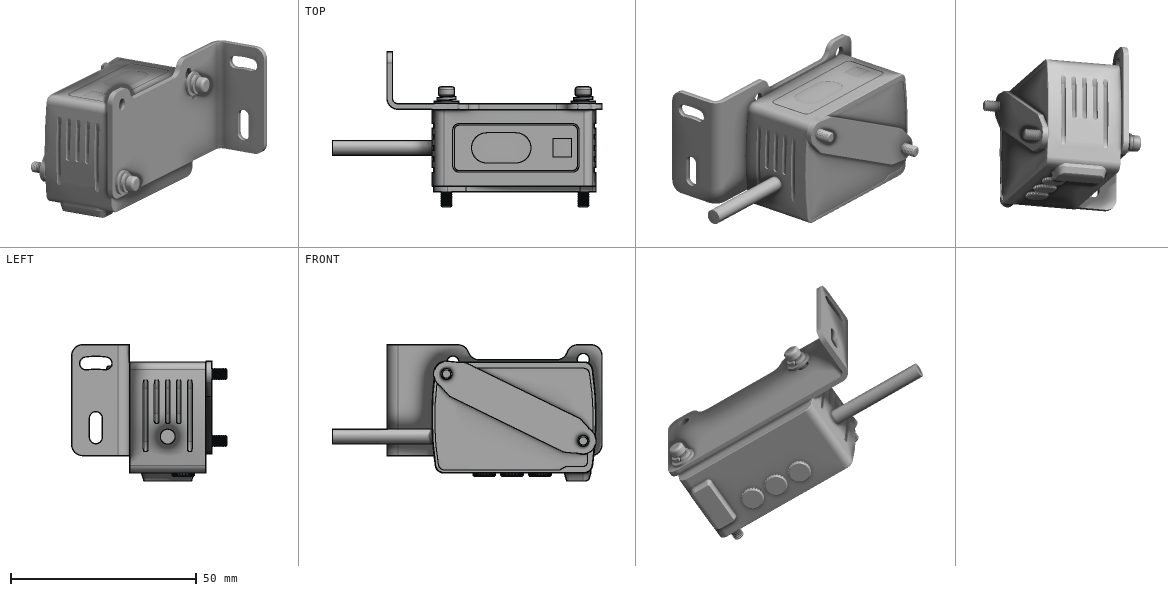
import cadquery as cq
import math


HOUSING_LENGTH = 44.3
HOUSING_DEPTH = 20.75
HOUSING_HEIGHT = 30.0
END_BULGE = 1.25
CORNER_RADIUS = 2.3
EDGE_CHAMFER = 0.15
MID_Y = -HOUSING_DEPTH / 2
MID_Z = HOUSING_HEIGHT / 2
CUT_MARGIN = 0.7

PANEL_DEPTH = 0.2
PANEL_END_INSET = 0.8
PANEL_TOP_INSET = 1.7
PANEL_BOTTOM_INSET = 0.8
PANEL_CORNER_RADIUS = 1.75
SCREW_LAND_RADIUS = 3.65
CORNER_STEP_X = 12.3
CORNER_STEP_RUN = 1.7
CORNER_STEP_RISE = 0.95
CORNER_STEP_RADIUS = 1.3
CORNER_STEP_RIGHT = 19.9

FRAME_X = 0.5
FRAME_LENGTH = 34.1
FRAME_WIDTH = 13.1
FRAME_RADIUS = 1.75
FRAME_GROOVE = 0.45
FRAME_DEPTH = 0.2
WINDOW_DEPTH = 0.1
BUTTON_X = -3.4
BUTTON_LENGTH = 16.0
BUTTON_WIDTH = 8.15
LAMP_X = 13.0
LAMP_SIDE = 5.0

GROOVE_PITCH = 3.0
GROOVE_WIDTH = 1.3
GROOVE_TOP = 25.55
LONG_GROOVE_BOTTOM = 5.75
SHORT_GROOVE_BOTTOM = 13.3
GROOVE_DEPTH = 0.95
GROOVE_RUN_OUT = 2.7
GROOVE_FLOOR_RADIUS = 0.3

ADJUSTER_X = -0.5
ADJUSTER_PITCH = 7.5
ADJUSTER_Y = -14.55
ADJUSTER_DIAMETER = 6.2
ADJUSTER_HEIGHT = 0.9
ADJUSTER_CHAMFER = 0.4
ADJUSTER_NOTCHES = 24
NOTCH_DIAMETER = 0.4
LENS_X = 17.2
LENS_LENGTH = 7.2
LENS_WIDTH = 14.2
LENS_DROP = 2.2
LENS_ROOT = 1.45
LENS_TAPER = 17.0
LENS_RADIUS = 1.0
LENS_NOSE_RADIUS = 1.75
LENS_NOSE_CORNER = 2.2

SHEET = 1.5
BRACKET_RIGHT = 23.8
BRACKET_LEFT = -34.3
BRACKET_TOP = 34.65
BRACKET_BOTTOM = 4.65
FLANGE_REACH = 15.6
BRACKET_RADIUS = 3.05
DIP_LEFT = -15.15
DIP_RIGHT = 17.25
DIP_DEPTH = 4.1
FLANGE_HOLE_Y = 9.0
FLANGE_SLOT_Z = 12.2
FLANGE_SLOT_WIDTH = 3.4
FLANGE_SLOT_LENGTH = 8.6
FLANGE_ARC_RADIUS = 17.55
FLANGE_ARC_HALF_ANGLE = 8.6
SLOT_HALF_ANGLE = 5.1
SPARE_HOLE_Z = 30.65

UPPER_SCREW = (-18.2, 26.7)
LOWER_SCREW = (18.7, 8.65)
SCREWS = [UPPER_SCREW, LOWER_SCREW]
SCREW_DIAMETER = 3.0
SCREW_HOLE = 3.2
SCREW_TIP = -26.35
TIP_CHAMFER = 0.4
THREAD_PITCH = 0.5
THREAD_DEPTH = 0.3
HEAD_DIAMETER = 4.4
HEAD_HEIGHT = 2.5
HEAD_TOP_RADIUS = 0.7
HEAD_BOTTOM_RADIUS = 0.45
SPRING_DIAMETER = 5.25
SPRING_THICKNESS = 0.8
SPRING_PITCH = 0.6
SPRING_TURN = 0.97
SPRING_BITE = 0.15
WASHER_DIAMETER = 6.6
WASHER_THICKNESS = 0.7

PLATE_THICKNESS = 1.5
PLATE_END_RADIUS = 3.5
PLATE_HALF_WIDTH = 5.0
PLATE_HALF_LENGTH = 17.1

CABLE_DIAMETER = 4.0
CABLE_Z = 9.8
CABLE_INSERTION = 2.9

CABLE_END = BRACKET_RIGHT - 72.8
PLATE_FRONT = -HOUSING_DEPTH - PLATE_THICKNESS
WASHER_TOP = SHEET + WASHER_THICKNESS
HEAD_BASE = WASHER_TOP + SPRING_THICKNESS + SPRING_PITCH
SCREW_SPAN_X = LOWER_SCREW[0] - UPPER_SCREW[0]
SCREW_SPAN_Z = LOWER_SCREW[1] - UPPER_SCREW[1]
SCREW_SPAN = math.hypot(SCREW_SPAN_X, SCREW_SPAN_Z)
SCREW_LINE_ANGLE = math.degrees(math.atan2(SCREW_SPAN_Z, SCREW_SPAN_X))


def front_plane(y):
    """XZ sketch plane at the given Y; extrusions run toward -Y."""
    return cq.Workplane("XZ", origin=(0, y, 0))


def polar(center, radius, degrees):
    angle = math.radians(degrees)
    return (center[0] + radius * math.cos(angle), center[1] + radius * math.sin(angle))


def arc_slot(plane, center, radius, middle, half_angle, width):
    """Closed outline of a slot bent around a center, with round ends."""
    inner = radius - width / 2
    outer = radius + width / 2
    start = middle - half_angle
    end = middle + half_angle
    start_tip = math.degrees(width / 2 / radius)
    return (
        plane.moveTo(*polar(center, inner, start))
        .threePointArc(polar(center, inner, middle), polar(center, inner, end))
        .threePointArc(polar(center, radius, end + start_tip), polar(center, outer, end))
        .threePointArc(polar(center, outer, middle), polar(center, outer, start))
        .threePointArc(polar(center, radius, start - start_tip), polar(center, inner, start))
        .close()
    )



def bulged_block(plane, end_inset, bottom, top, radius, depth):
    """Block with bowed ends and rounded corners, extruded toward -Y."""
    middle = HOUSING_LENGTH / 2 - end_inset
    corner = middle - END_BULGE
    return (
        plane.moveTo(-corner, bottom)
        .lineTo(corner, bottom)
        .threePointArc((middle, MID_Z), (corner, top))
        .lineTo(-corner, top)
        .threePointArc((-middle, MID_Z), (-corner, bottom))
        .close()
        .extrude(depth)
        .edges("|Y")
        .fillet(radius)
    )


def front_panel():
    """Cutter for the shallow front panel, leaving lands around the screws."""
    face = front_plane(-HOUSING_DEPTH + PANEL_DEPTH)
    depth = PANEL_DEPTH + CUT_MARGIN
    panel_top = HOUSING_HEIGHT - PANEL_TOP_INSET
    panel = bulged_block(face, PANEL_END_INSET, PANEL_BOTTOM_INSET, panel_top, PANEL_CORNER_RADIUS, depth)
    lands = face.pushPoints(SCREWS).circle(SCREW_LAND_RADIUS).extrude(depth)

    ramp_top_x = CORNER_STEP_X + CORNER_STEP_RUN
    step_z = PANEL_BOTTOM_INSET + CORNER_STEP_RISE
    arc_center = (CORNER_STEP_RIGHT - CORNER_STEP_RADIUS, step_z + CORNER_STEP_RADIUS)
    corner_step = (
        face.moveTo(CORNER_STEP_X, PANEL_BOTTOM_INSET)
        .lineTo(ramp_top_x, step_z)
        .lineTo(arc_center[0], step_z)
        .threePointArc(polar(arc_center, CORNER_STEP_RADIUS, -45), (CORNER_STEP_RIGHT, arc_center[1]))
        .lineTo(CORNER_STEP_RIGHT, LOWER_SCREW[1])
        .lineTo(HOUSING_LENGTH / 2, LOWER_SCREW[1])
        .lineTo(HOUSING_LENGTH / 2, PANEL_BOTTOM_INSET)
        .close()
        .extrude(depth)
    )
    return panel.cut(lands).cut(corner_step)


def top_markings():
    """Cutters for the frame groove, the oval button and the square lamp."""
    top = cq.Workplane("XY", origin=(0, MID_Y, HOUSING_HEIGHT))
    frame = (
        top.center(FRAME_X, 0)
        .rect(FRAME_LENGTH, FRAME_WIDTH)
        .extrude(-FRAME_DEPTH)
        .edges("|Z")
        .fillet(FRAME_RADIUS)
    )
    island = (
        top.center(FRAME_X, 0)
        .rect(FRAME_LENGTH - 2 * FRAME_GROOVE, FRAME_WIDTH - 2 * FRAME_GROOVE)
        .extrude(-FRAME_DEPTH)
        .edges("|Z")
        .fillet(FRAME_RADIUS - FRAME_GROOVE)
    )
    button = top.center(BUTTON_X, 0).slot2D(BUTTON_LENGTH, BUTTON_WIDTH).extrude(-WINDOW_DEPTH)
    lamp = top.center(LAMP_X, 0).rect(LAMP_SIDE, LAMP_SIDE).extrude(-WINDOW_DEPTH)
    return [frame.cut(island), button, lamp]


def grip_groove(y, bottom):
    """Cutter for one upright groove in the left end, with a floor that runs out at both tips."""
    surface_x = -HOUSING_LENGTH / 2
    floor_x = surface_x + GROOVE_DEPTH
    slot = (
        cq.Workplane("YZ", origin=(surface_x, y, (GROOVE_TOP + bottom) / 2))
        .slot2D(GROOVE_TOP - bottom, GROOVE_WIDTH, 90)
        .extrude(GROOVE_DEPTH)
    )
    run_out = (
        front_plane(y + GROOVE_WIDTH / 2)
        .moveTo(surface_x, bottom)
        .lineTo(floor_x - GROOVE_DEPTH / 2, bottom)
        .lineTo(floor_x, bottom + GROOVE_RUN_OUT)
        .lineTo(floor_x, GROOVE_TOP - GROOVE_RUN_OUT)
        .lineTo(floor_x - GROOVE_DEPTH / 2, GROOVE_TOP)
        .lineTo(surface_x, GROOVE_TOP)
        .close()
        .extrude(GROOVE_WIDTH)
        .edges("(<Y or >Y) and (not <X) and (not |X)")
        .fillet(GROOVE_FLOOR_RADIUS)
    )
    return slot.intersect(run_out)


def adjuster(x):
    """Low knurled adjuster on the underside."""
    knob = (
        cq.Workplane("XY", origin=(x, ADJUSTER_Y, 0))
        .circle(ADJUSTER_DIAMETER / 2)
        .extrude(-ADJUSTER_HEIGHT)
        .faces("<Z")
        .chamfer(ADJUSTER_CHAMFER)
    )
    notches = (
        cq.Workplane("XY", origin=(x, ADJUSTER_Y, 0))
        .polarArray(ADJUSTER_DIAMETER / 2, 0, 360, ADJUSTER_NOTCHES)
        .circle(NOTCH_DIAMETER / 2)
        .extrude(-ADJUSTER_HEIGHT)
    )
    return knob.cut(notches)


def lens():
    """Tapered lens under the right end, rounded toward the nose."""
    outline = (
        cq.Sketch()
        .rect(LENS_LENGTH, LENS_WIDTH)
        .vertices("<X")
        .fillet(LENS_RADIUS)
        .reset()
        .vertices(">X")
        .fillet(LENS_NOSE_CORNER)
    )
    base = cq.Workplane("XY", origin=(LENS_X, MID_Y, 0)).placeSketch(outline)
    taper_part = base.extrude(-LENS_DROP, taper=LENS_TAPER)
    root = base.extrude(LENS_ROOT)
    envelope = (
        cq.Workplane("XY", origin=(LENS_X, MID_Y, LENS_ROOT))
        .rect(LENS_LENGTH, LENS_WIDTH)
        .extrude(-LENS_ROOT - LENS_DROP)
        .edges(">X and <Z")
        .fillet(LENS_NOSE_RADIUS)
    )
    return taper_part.union(root).intersect(envelope)


def make_housing():
    body = bulged_block(front_plane(0), 0, 0, HOUSING_HEIGHT, CORNER_RADIUS, HOUSING_DEPTH)
    body = body.faces("<Y or >Y").chamfer(EDGE_CHAMFER)
    body = body.cut(front_panel())
    for marking in top_markings():
        body = body.cut(marking)
    for index in range(-2, 3):
        bottom = LONG_GROOVE_BOTTOM if abs(index) == 2 else SHORT_GROOVE_BOTTOM
        groove = grip_groove(MID_Y + index * GROOVE_PITCH, bottom)
        body = body.cut(groove).cut(groove.mirror("YZ"))
    for index in range(-1, 2):
        body = body.union(adjuster(ADJUSTER_X + index * ADJUSTER_PITCH))
    body = body.union(lens())
    screw_holes = front_plane(0).pushPoints(SCREWS).circle(SCREW_HOLE / 2).extrude(HOUSING_DEPTH)
    return body.cut(screw_holes).cut(make_cable())



def make_cable():
    length = -HOUSING_LENGTH / 2 + CABLE_INSERTION - CABLE_END
    return cq.Workplane("YZ", origin=(CABLE_END, MID_Y, CABLE_Z)).circle(CABLE_DIAMETER / 2).extrude(length)



def bracket_sheet():
    """Bent L-shaped sheet before its outline is trimmed."""
    flange_inner = BRACKET_LEFT + SHEET
    return (
        cq.Workplane("XY", origin=(0, 0, BRACKET_BOTTOM))
        .moveTo(BRACKET_LEFT, FLANGE_REACH)
        .lineTo(BRACKET_LEFT, 0)
        .lineTo(BRACKET_RIGHT, 0)
        .lineTo(BRACKET_RIGHT, SHEET)
        .lineTo(flange_inner, SHEET)
        .lineTo(flange_inner, FLANGE_REACH)
        .close()
        .extrude(BRACKET_TOP - BRACKET_BOTTOM)
        .edges("|Z and <X and <Y")
        .fillet(BRACKET_RADIUS)
        .edges(cq.selectors.NearestToPointSelector((flange_inner, SHEET, MID_Z)))
        .fillet(BRACKET_RADIUS - SHEET)
        .edges("|Y and >X")
        .fillet(BRACKET_RADIUS)
        .edges("|X and >Y")
        .fillet(BRACKET_RADIUS)
    )


def top_dip():
    """Cutter for the lowered stretch of the top edge, with S-curved shoulders."""
    turn = math.acos(1 - DIP_DEPTH / 2 / BRACKET_RADIUS)
    half_run = BRACKET_RADIUS * math.sin(turn)
    near_x = BRACKET_RADIUS * math.sin(turn / 2)
    near_drop = BRACKET_RADIUS * (1 - math.cos(turn / 2))
    low = BRACKET_TOP - DIP_DEPTH
    middle_z = BRACKET_TOP - DIP_DEPTH / 2
    left_foot = DIP_LEFT + 2 * half_run
    right_foot = DIP_RIGHT - 2 * half_run
    return (
        front_plane(SHEET)
        .moveTo(DIP_LEFT, BRACKET_TOP)
        .threePointArc((DIP_LEFT + near_x, BRACKET_TOP - near_drop), (DIP_LEFT + half_run, middle_z))
        .threePointArc((left_foot - near_x, low + near_drop), (left_foot, low))
        .lineTo(right_foot, low)
        .threePointArc((right_foot + near_x, low + near_drop), (DIP_RIGHT - half_run, middle_z))
        .threePointArc((DIP_RIGHT - near_x, BRACKET_TOP - near_drop), (DIP_RIGHT, BRACKET_TOP))
        .close()
        .extrude(SHEET)
    )


def make_bracket():
    face = front_plane(SHEET)
    pivot_holes = (
        face.pushPoints([LOWER_SCREW, (LOWER_SCREW[0], SPARE_HOLE_Z)])
        .circle(SCREW_HOLE / 2)
        .extrude(SHEET)
    )
    tilt_slot = arc_slot(
        face, LOWER_SCREW, SCREW_SPAN, 180 + SCREW_LINE_ANGLE, SLOT_HALF_ANGLE, SCREW_HOLE
    ).extrude(SHEET)
    flange = cq.Workplane("YZ", origin=(BRACKET_LEFT, 0, 0))
    flange_slot = (
        flange.center(FLANGE_HOLE_Y, FLANGE_SLOT_Z)
        .slot2D(FLANGE_SLOT_LENGTH, FLANGE_SLOT_WIDTH, 90)
        .extrude(SHEET)
    )
    flange_arc = arc_slot(
        flange,
        (FLANGE_HOLE_Y, FLANGE_SLOT_Z),
        FLANGE_ARC_RADIUS,
        90,
        FLANGE_ARC_HALF_ANGLE,
        FLANGE_SLOT_WIDTH,
    ).extrude(SHEET)
    bracket = bracket_sheet().cut(top_dip())
    return bracket.cut(pivot_holes).cut(tilt_slot).cut(flange_slot).cut(flange_arc)



def make_clamp_plate():
    """Plate with a wide middle that narrows along tangents to a round end at each screw."""
    end_x = SCREW_SPAN / 2
    setback = end_x - PLATE_HALF_LENGTH
    corner_distance = math.hypot(setback, PLATE_HALF_WIDTH)
    corner_angle = math.atan2(PLATE_HALF_WIDTH, -setback)
    tangent_angle = corner_angle - math.acos(PLATE_END_RADIUS / corner_distance)
    tangent_x = end_x + PLATE_END_RADIUS * math.cos(tangent_angle)
    tangent_z = PLATE_END_RADIUS * math.sin(tangent_angle)
    tip = end_x + PLATE_END_RADIUS
    center_x = (UPPER_SCREW[0] + LOWER_SCREW[0]) / 2
    center_z = (UPPER_SCREW[1] + LOWER_SCREW[1]) / 2
    return (
        front_plane(0)
        .moveTo(-PLATE_HALF_LENGTH, PLATE_HALF_WIDTH)
        .lineTo(PLATE_HALF_LENGTH, PLATE_HALF_WIDTH)
        .lineTo(tangent_x, tangent_z)
        .threePointArc((tip, 0), (tangent_x, -tangent_z))
        .lineTo(PLATE_HALF_LENGTH, -PLATE_HALF_WIDTH)
        .lineTo(-PLATE_HALF_LENGTH, -PLATE_HALF_WIDTH)
        .lineTo(-tangent_x, -tangent_z)
        .threePointArc((-tip, 0), (-tangent_x, tangent_z))
        .close()
        .pushPoints([(-end_x, 0), (end_x, 0)])
        .circle(SCREW_DIAMETER / 2)
        .extrude(PLATE_THICKNESS)
        .rotate((0, 0, 0), (0, 1, 0), -SCREW_LINE_ANGLE)
        .translate((center_x, -HOUSING_DEPTH, center_z))
    )



def along_y(shape, place):
    """Turn a part built upright on the origin so that it points to +Y at a screw position."""
    return shape.rotate((0, 0, 0), (1, 0, 0), -90).translate((place[0], 0, place[1]))


def spring_washer():
    """One turn of a split ring, rising from the flat washer to the screw head."""
    inner = SCREW_DIAMETER / 2 - SPRING_BITE
    outer = SPRING_DIAMETER / 2
    path = cq.Wire.makeHelix(SPRING_PITCH, SPRING_PITCH * SPRING_TURN, (inner + outer) / 2)
    return (
        cq.Workplane("XZ")
        .center((inner + outer) / 2, 0)
        .rect(outer - inner, SPRING_THICKNESS)
        .sweep(path, isFrenet=True)
        .rotate((0, 0, 0), (0, 0, 1), 90)
        .translate((0, 0, WASHER_TOP + SPRING_THICKNESS / 2))
    )


def make_screw(place):
    """Screw with a captive spring washer; ring grooves stand for the exposed thread."""
    shank = SCREW_DIAMETER / 2
    head = HEAD_DIAMETER / 2
    head_top = HEAD_BASE + HEAD_HEIGHT
    thread_start = SCREW_TIP + TIP_CHAMFER
    outline = (
        cq.Workplane("XZ")
        .moveTo(0, SCREW_TIP)
        .lineTo(shank - TIP_CHAMFER, SCREW_TIP)
        .lineTo(shank, thread_start)
    )
    turns = math.floor((PLATE_FRONT - thread_start) / THREAD_PITCH)
    for turn in range(turns):
        root = thread_start + (turn + 0.5) * THREAD_PITCH
        outline = outline.lineTo(shank - THREAD_DEPTH, root).lineTo(shank, root + THREAD_PITCH / 2)
    body = (
        outline.lineTo(shank, HEAD_BASE)
        .lineTo(head - HEAD_BOTTOM_RADIUS, HEAD_BASE)
        .radiusArc((head, HEAD_BASE + HEAD_BOTTOM_RADIUS), -HEAD_BOTTOM_RADIUS)
        .lineTo(head, head_top - HEAD_TOP_RADIUS)
        .radiusArc((head - HEAD_TOP_RADIUS, head_top), -HEAD_TOP_RADIUS)
        .lineTo(0, head_top)
        .close()
        .revolve(360, (0, 0, 0), (0, 1, 0))
    )
    return along_y(body.union(spring_washer()), place)


def make_flat_washer(place):
    washer = (
        cq.Workplane("XY", origin=(0, 0, SHEET))
        .circle(WASHER_DIAMETER / 2)
        .circle(SCREW_HOLE / 2)
        .extrude(WASHER_THICKNESS)
    )
    return along_y(washer, place)


housing = make_housing()
cable = make_cable()
bracket = make_bracket()
clamp_plate = make_clamp_plate()
screws = [make_screw(place) for place in SCREWS]
flat_washers = [make_flat_washer(place) for place in SCREWS]

result = cq.Compound.makeCompound(
    [
        housing.val(),
        cable.val(),
        bracket.val(),
        clamp_plate.val(),
        *[screw.val() for screw in screws],
        *[washer.val() for washer in flat_washers],
    ]
)